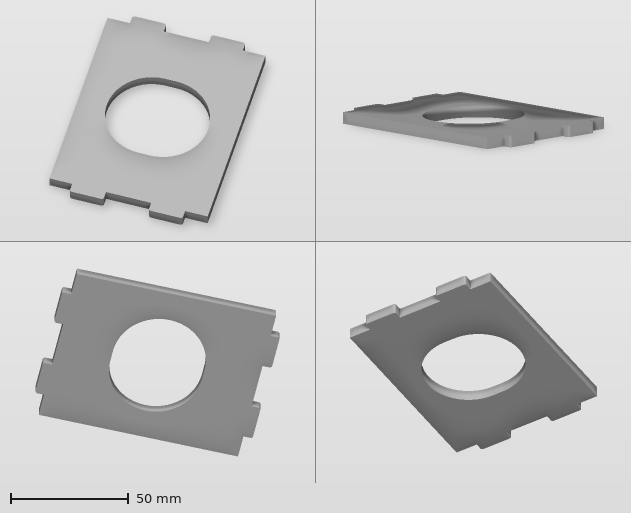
import cadquery as cq

plate_width = 70.0
plate_length = 87.0
thickness = 5.0

tab_width = 15.0
tab_projection = 4.0
tab_spacing = 35.0
tab_corner_radius = 1.0

window_length = 45.0
window_width = 40.0


def make_plate():
    return cq.Workplane("XY").rect(plate_width, plate_length).extrude(thickness)


def make_tab_strips():
    """Two full-length strips whose rounded ends stand out as the four tabs."""
    strip_length = plate_length + 2 * tab_projection
    return (
        cq.Workplane("XY")
        .pushPoints([(-tab_spacing / 2, 0), (tab_spacing / 2, 0)])
        .rect(tab_width, strip_length)
        .extrude(thickness)
        .edges("|Z")
        .fillet(tab_corner_radius)
    )


def make_window():
    return cq.Workplane("XY").slot2D(window_length, window_width).extrude(thickness)


result = make_plate().union(make_tab_strips()).cut(make_window())